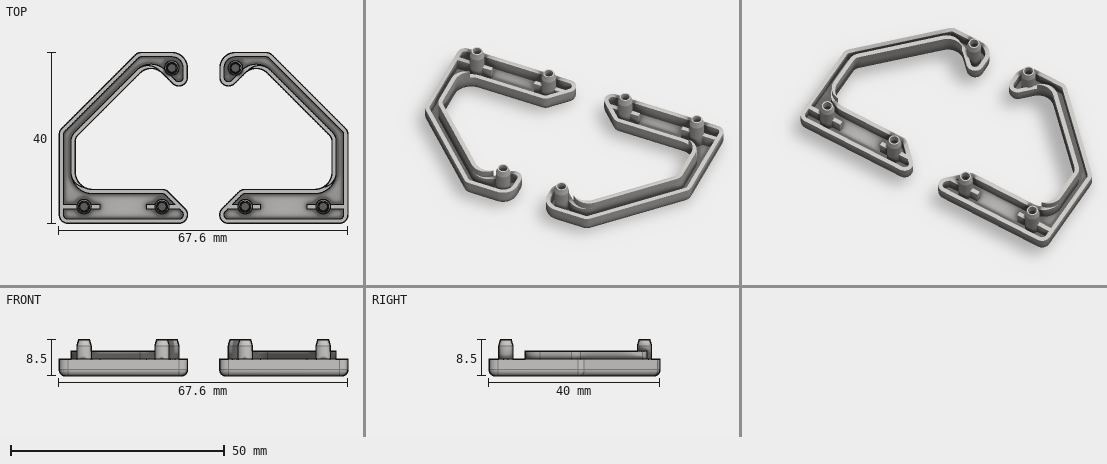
import cadquery as cq
import math

total_length = 67.6
bracket_width = 30.0
bracket_depth = 40.0
outer_x = -total_length / 2
tip_x = outer_x + bracket_width

rim_height = 4.0
lip_height = 5.8
pin_shoulder_height = 7.1
pin_height = 8.5

wall = 1.0
floor = 1.0
underside_radius = 1.5

side_bar_width = 3.8
bottom_bar_width = 8.0
outer_bend_y = 21.6
hook_corner_y = 29.3
foot_corner_offset = 2.9
corner_radius = 2.0
hook_radius = 3.65
foot_bend_radius = 4.0
hook_bend_radius = 3.7

lip_base = underside_radius
foot_end_inset = 0.4
hook_end_inset = 0.1

pin_diameter = 3.4
pin_tip_diameter = 2.6
pin_hole_diameter = 2.0
rib_thickness = wall
near_rib_reach = 3.8
far_rib_reach = 3.6
foot_pin_y = 3.9
near_pin = (outer_x + 5.8, foot_pin_y)
far_pin = (outer_x + 24.05, foot_pin_y)
hook_pin = (tip_x - hook_radius, bracket_depth - hook_radius)


def rounded_polygon(corners):
    """Closed outline from (x, y, radius) corners; a zero radius stays sharp."""
    outline = None
    count = len(corners)
    for i, (x, y, radius) in enumerate(corners):
        corner = cq.Vector(x, y)
        to_last = (cq.Vector(*corners[i - 1][:2]) - corner).normalized()
        to_next = (cq.Vector(*corners[(i + 1) % count][:2]) - corner).normalized()
        half_angle = to_last.getAngle(to_next) / 2
        setback = radius / math.tan(half_angle)
        apex_distance = radius / math.sin(half_angle) - radius
        start = corner + to_last * setback
        if outline is None:
            outline = cq.Workplane().moveTo(start.x, start.y)
        else:
            outline = outline.lineTo(start.x, start.y)
        if radius > 0:
            apex = corner + (to_last + to_next).normalized() * apex_distance
            end = corner + to_next * setback
            outline = outline.threePointArc((apex.x, apex.y), (end.x, end.y))
    return outline.close()


def inner_corners(side_inset, foot_inset, hook_inset, middle_radius):
    """Lower, middle and upper corner of the inner edge.

    side_inset thickens or thins the side bar and the sloping bar;
    foot_inset and hook_inset move the foot and hook edges into the opening
    and tighten the bends next to them by as much.
    """
    side_x = outer_x + side_bar_width + side_inset
    foot_y = bottom_bar_width + foot_inset
    slope_offset = outer_bend_y - outer_x - (side_bar_width + side_inset) * math.sqrt(2)
    hook_sum = hook_corner_y + tip_x - hook_inset * math.sqrt(2)
    return [
        (side_x, foot_y, foot_bend_radius - foot_inset),
        (side_x, side_x + slope_offset, middle_radius),
        ((hook_sum - slope_offset) / 2, (hook_sum + slope_offset) / 2, hook_bend_radius - hook_inset),
    ]


def bracket_outline():
    foot_corner_x = tip_x + foot_corner_offset
    return rounded_polygon([
        (outer_x, 0, corner_radius),
        (foot_corner_x, 0, corner_radius),
        (foot_corner_x - bottom_bar_width, bottom_bar_width, corner_radius),
        *inner_corners(0, 0, 0, corner_radius),
        (tip_x, hook_corner_y, corner_radius),
        (tip_x, bracket_depth, hook_radius),
        (outer_x + bracket_depth - outer_bend_y, bracket_depth, corner_radius),
        (outer_x, outer_bend_y, corner_radius),
    ])


def tray_cavity():
    cavity = bracket_outline().offset2D(-wall).extrude(lip_height)
    return cavity.translate((0, 0, floor))


def tray():
    blank = bracket_outline().extrude(rim_height)
    return blank.faces("<Z").edges().fillet(underside_radius).cut(tray_cavity())


def lip():
    """Raised inner wall whose two ends taper out against the inner edge."""
    lower, middle, upper = inner_corners(-wall, foot_end_inset, hook_end_inset, corner_radius + wall)
    closing_corner = (upper[0] + upper[1] - lower[1], lower[1], 0)
    envelope = rounded_polygon([lower, middle, upper, closing_corner]).extrude(lip_height - lip_base)
    raised = bracket_outline().extrude(lip_height - lip_base).intersect(envelope)
    return raised.translate((0, 0, lip_base))


def rib(start_x, end_x):
    """Upright web on the floor along the row of foot pins."""
    length = end_x - start_x
    web = cq.Workplane().box(length, rib_thickness, rim_height - floor, centered=(False, True, False))
    return web.translate((start_x, foot_pin_y, floor))


def pin(place):
    shank = cq.Workplane().circle(pin_diameter / 2).extrude(pin_shoulder_height - floor)
    tapered = (
        shank.faces(">Z").workplane().circle(pin_diameter / 2)
        .workplane(offset=pin_height - pin_shoulder_height).circle(pin_tip_diameter / 2)
        .loft(combine=True)
    )
    return tapered.translate((*place, floor))


def pin_hole(place):
    return cq.Workplane().circle(pin_hole_diameter / 2).extrude(pin_height).translate((*place, floor))


def bracket():
    foot_wall_x = tip_x + foot_corner_offset - foot_pin_y - wall / 2 * math.sqrt(2)
    body = tray().union(lip())
    body = body.union(rib(outer_x + wall / 2, near_pin[0] + near_rib_reach))
    body = body.union(rib(far_pin[0] - far_rib_reach, foot_wall_x))
    for place in (near_pin, far_pin, hook_pin):
        body = body.union(pin(place)).cut(pin_hole(place))
    return body


left_bracket = bracket()
right_bracket = left_bracket.mirror("YZ")

result = cq.Compound.makeCompound([left_bracket.val(), right_bracket.val()])